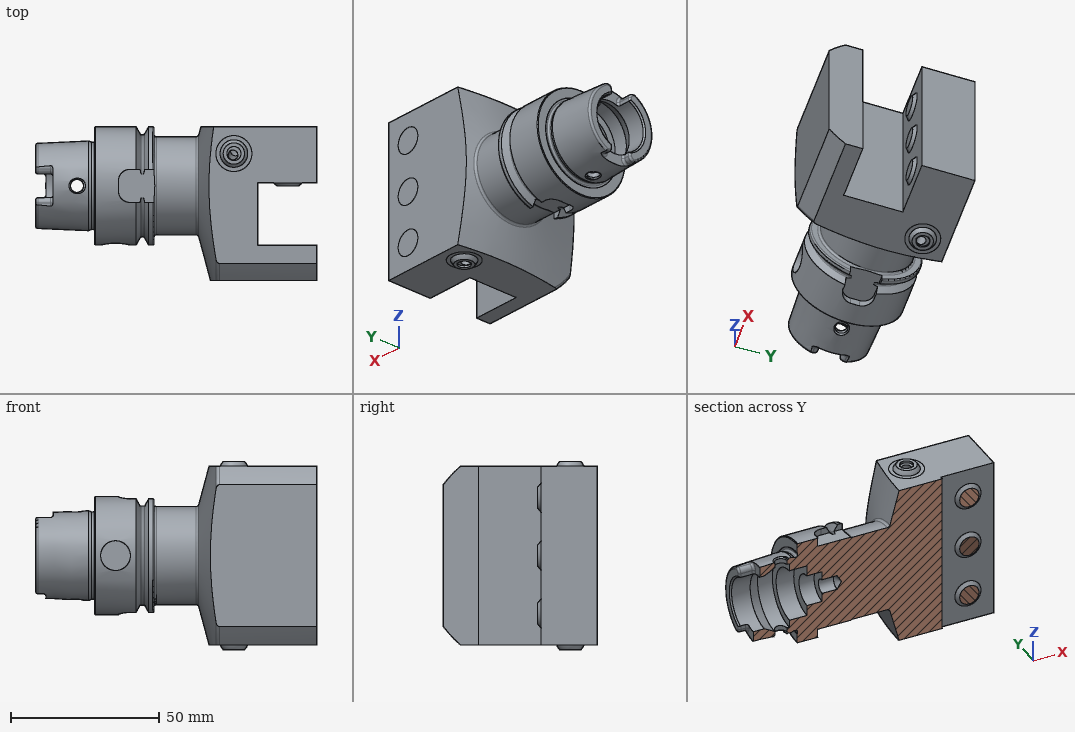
import cadquery as cq
import math


shank_front = -19.9
taper_front_radius = 14.38
taper_back_x = -2.1
taper_back_radius = 15.2
taper_slope = (taper_back_radius - taper_front_radius) / (taper_back_x - shank_front)
relief_front = -1.0
relief_radius = 14.8
relief_fillet = 0.7
shank_rim_fillet = 0.8

flange_radius = 20.0
flange_back = 20.0
flange_face_chamfer = 0.3
face_recess_radius = 16.2
face_recess_depth = 0.2
flange_back_fillet = 0.5
groove_radius = 17.3
groove_top_front = 13.95
groove_floor_front = 15.6
groove_floor_back = 16.6
groove_top_back = 18.2
groove_fillet = 0.5

neck_radius = 16.6
neck_front_fillet = 0.8
neck_back = 34.9
neck_back_fillet = 0.95
cone_angle = 15.0
head_radius = 40.0
head_rim_fillet = 1.1
head_back = 75.0
head_width = 52.0
head_top_y = flange_radius
head_bottom_y = head_top_y - head_width
head_half_height = 30.2

bore_radius = 10.5
bore_rim_chamfer = 0.6
clamp_groove_front = -12.3
clamp_groove_floor_front = -8.4
clamp_groove_back = -2.8
clamp_groove_radius = 12.7
inner_bore_radius = 9.9
inner_bore_end = 3.8
tube_seat_radius = 5.9
tube_seat_end = 9.5
coolant_bore_radius = 2.7
coolant_bore_end = 15.2
drill_tip_half_angle = 59.0

keyway_half_width = 4.0
keyway_shoulder_height = 12.9
keyway_edge_radius = 1.7
keyway_end_fillet = 0.9
upper_keyway_depth = 5.9
lower_keyway_depth = 3.4

cross_hole_x = -6.0
cross_hole_radius = 2.2
cross_hole_sink_radius = 2.8
shank_radius_at_hole = taper_back_radius - taper_slope * (taper_back_x - cross_hole_x)

pocket_front = 8.0
pocket_half_width = 5.6
pocket_corner_radius = 4.0
pocket_floor_height = 16.8

chip_hole_x = 7.0
chip_hole_radius = 5.0
chip_hole_depth = 4.6

slot_floor_x = 55.0
slot_wall_y = 1.0
slot_width = 21.1

screw_x = 65.2
screw_radius = 4.9
screw_tip_radius = 3.6
screw_protrusion = 1.1
screw_pitch = 19.55
screw_count = 3

nozzle_x = 47.0
nozzle_y = 10.9
ring_radius = 6.1
ring_depth = 3.8
ball_radius = 5.0
ball_center_depth = 1.9
ball_protrusion = 1.6
ball_recess_radius = 2.4
ball_recess_depth = 0.8
jet_radius = 1.6
jet_tilt_x = 6.0
jet_tilt_y = 10.0


def upside_down(body):
    """Mirror image of a body on the other side of the X-Y plane."""
    return body.mirror("XY")


def fillet_rim(body, x, radius, fillet):
    """Round the circular edge of the given radius at the given X."""
    tolerance = 0.01
    rim = body.edges("%CIRCLE").filter(
        lambda edge: abs(edge.Center().x - x) < tolerance and abs(edge.radius() - radius) < tolerance
    )
    return rim.fillet(fillet)


def turned_blank():
    """Shank, flange, neck and round head, turned about the X axis."""
    cone_length = (head_radius - neck_radius) * math.tan(math.radians(cone_angle))
    cone_back = neck_back + cone_length
    outline = [
        (shank_front, 0),
        (shank_front, taper_front_radius),
        (taper_back_x, taper_back_radius),
        (relief_front, relief_radius),
        (face_recess_depth, relief_radius),
        (face_recess_depth, face_recess_radius),
        (0, face_recess_radius),
        (0, flange_radius - flange_face_chamfer),
        (flange_face_chamfer, flange_radius),
        (groove_top_front, flange_radius),
        (groove_floor_front, groove_radius),
        (groove_floor_back, groove_radius),
        (groove_top_back, flange_radius),
        (flange_back, flange_radius),
        (flange_back, neck_radius),
        (neck_back, neck_radius),
        (cone_back, head_radius),
        (head_back, head_radius),
        (head_back, 0),
    ]
    blank = cq.Workplane("XY").polyline(outline).close().revolve(360, (0, 0, 0), (1, 0, 0))
    blank = fillet_rim(blank, face_recess_depth, relief_radius, relief_fillet)
    blank = fillet_rim(blank, groove_floor_front, groove_radius, groove_fillet)
    blank = fillet_rim(blank, groove_floor_back, groove_radius, groove_fillet)
    blank = fillet_rim(blank, flange_back, flange_radius, flange_back_fillet)
    blank = fillet_rim(blank, flange_back, neck_radius, neck_front_fillet)
    blank = fillet_rim(blank, neck_back, neck_radius, neck_back_fillet)
    return fillet_rim(blank, cone_back, head_radius, head_rim_fillet)


def head_envelope():
    """Box whose sides flatten the turned head; it clears the whole shank and flange."""
    return cq.Workplane("XY").box(
        head_back - shank_front, head_width, 2 * head_half_height, centered=False
    ).translate((shank_front, head_bottom_y, -head_half_height))


def shank_bore():
    tip_length = coolant_bore_radius / math.tan(math.radians(drill_tip_half_angle))
    outline = [
        (shank_front, 0),
        (shank_front, bore_radius + bore_rim_chamfer),
        (shank_front + bore_rim_chamfer, bore_radius),
        (clamp_groove_front, bore_radius),
        (clamp_groove_floor_front, clamp_groove_radius),
        (clamp_groove_back, clamp_groove_radius),
        (clamp_groove_back, inner_bore_radius),
        (inner_bore_end, inner_bore_radius),
        (inner_bore_end, tube_seat_radius),
        (tube_seat_end, tube_seat_radius),
        (tube_seat_end, coolant_bore_radius),
        (coolant_bore_end, coolant_bore_radius),
        (coolant_bore_end + tip_length, 0),
    ]
    return cq.Workplane("XY").polyline(outline).close().revolve(360, (0, 0, 0), (1, 0, 0))


def keyway(depth):
    """Slot on the +Z side of the rim, its walls rounded over into flat shoulders."""
    top = taper_back_radius
    shoulder_y = top
    edge_y = keyway_half_width + keyway_edge_radius
    edge_z = keyway_shoulder_height - keyway_edge_radius
    diagonal = keyway_edge_radius * math.sqrt(0.5)
    arc_middle = (edge_y - diagonal, edge_z + diagonal)
    return (
        cq.Workplane("YZ", origin=(shank_front, 0, 0))
        .moveTo(-keyway_half_width, 0)
        .lineTo(keyway_half_width, 0)
        .lineTo(keyway_half_width, edge_z)
        .threePointArc(arc_middle, (edge_y, keyway_shoulder_height))
        .lineTo(shoulder_y, keyway_shoulder_height)
        .lineTo(shoulder_y, top)
        .lineTo(-shoulder_y, top)
        .lineTo(-shoulder_y, keyway_shoulder_height)
        .lineTo(-edge_y, keyway_shoulder_height)
        .threePointArc((-arc_middle[0], arc_middle[1]), (-keyway_half_width, edge_z))
        .close()
        .extrude(depth)
        .faces(">X")
        .edges()
        .fillet(keyway_end_fillet)
    )


def cross_hole():
    """Hole along Z through both shank walls, countersunk outside."""
    hole = cq.Workplane("XY").circle(cross_hole_radius).extrude(taper_back_radius, both=True)
    sink_depth = cross_hole_sink_radius - cross_hole_radius
    sink = (
        cq.Workplane("XY", origin=(0, 0, shank_radius_at_hole - sink_depth))
        .circle(cross_hole_radius)
        .workplane(offset=sink_depth)
        .circle(cross_hole_sink_radius)
        .loft()
    )
    return hole.union(sink).union(upside_down(sink)).translate((cross_hole_x, 0, 0))


def gripper_pocket():
    """Flat-floored pocket on the +Z side, open towards the neck."""
    pocket_back = flange_back + neck_front_fillet
    return (
        cq.Workplane("XY", origin=(0, 0, pocket_floor_height))
        .moveTo(pocket_front, -pocket_half_width)
        .lineTo(pocket_back, -pocket_half_width)
        .lineTo(pocket_back, pocket_half_width)
        .lineTo(pocket_front, pocket_half_width)
        .close()
        .extrude(flange_radius - pocket_floor_height)
        .edges("|Z and <X")
        .fillet(pocket_corner_radius)
    )


def chip_hole():
    return (
        cq.Workplane("XZ", origin=(chip_hole_x, -flange_radius + chip_hole_depth, 0))
        .circle(chip_hole_radius)
        .extrude(chip_hole_depth)
    )


def tool_slot():
    return cq.Workplane("XY").box(
        head_back - slot_floor_x, slot_width, 2 * head_half_height, centered=(False, False, True)
    ).translate((slot_floor_x, slot_wall_y - slot_width, 0))


def clamp_screw(z):
    """Screw along Y from the outer side of the arm, its blunt tip standing into the slot."""
    tip_y = slot_wall_y - screw_protrusion
    outline = [
        (0, head_top_y),
        (screw_radius, head_top_y),
        (screw_radius, slot_wall_y),
        (screw_tip_radius, tip_y),
        (0, tip_y),
    ]
    screw = cq.Workplane("XY").polyline(outline).close().revolve(360, (0, 0, 0), (0, 1, 0))
    return screw.translate((screw_x, 0, z))


def ball_blank():
    """Sphere of the upper nozzle, before its top is cut flat."""
    return cq.Workplane("XY").sphere(ball_radius).translate(
        (nozzle_x, nozzle_y, head_half_height - ball_center_depth)
    )


def ring_blank():
    """Disc of the upper nozzle ring, before the ball seat is cut."""
    return (
        cq.Workplane("XY", origin=(nozzle_x, nozzle_y, head_half_height - ring_depth))
        .circle(ring_radius)
        .extrude(ring_depth)
    )


def nozzle_ring():
    return ring_blank().cut(ball_blank())


def nozzle_ball():
    """Ball with a flat top, a shallow recess and a tilted jet bore."""
    flat_z = head_half_height + ball_protrusion
    above_flat = (
        cq.Workplane("XY", origin=(nozzle_x, nozzle_y, flat_z)).circle(ball_radius).extrude(ball_radius)
    )
    recess = (
        cq.Workplane("XY", origin=(nozzle_x, nozzle_y, flat_z - ball_recess_depth))
        .circle(ball_recess_radius)
        .extrude(ball_recess_depth)
    )
    jet = (
        cq.Workplane("XY")
        .circle(jet_radius)
        .extrude(ball_radius, both=True)
        .rotate((0, 0, 0), (0, 1, 0), -jet_tilt_x)
        .rotate((0, 0, 0), (1, 0, 0), jet_tilt_y)
        .translate((nozzle_x, nozzle_y, head_half_height - ball_center_depth))
    )
    return ball_blank().cut(above_flat).cut(recess).cut(jet)


def tool_holder(screws):
    """Shank and head in one piece, with seats for the screws and nozzles."""
    body = turned_blank().intersect(head_envelope())
    body = body.cut(keyway(upper_keyway_depth))
    body = body.cut(upside_down(keyway(lower_keyway_depth)))
    body = body.faces("<X").edges().fillet(shank_rim_fillet)
    body = body.cut(shank_bore())
    body = body.cut(cross_hole())
    body = body.cut(gripper_pocket())
    body = body.cut(upside_down(gripper_pocket()))
    body = body.cut(chip_hole())
    body = body.cut(tool_slot())
    nozzle_seat = ring_blank().union(ball_blank())
    body = body.cut(nozzle_seat)
    body = body.cut(upside_down(nozzle_seat))
    for screw in screws:
        body = body.cut(screw)
    return body


screws = [clamp_screw((i - (screw_count - 1) / 2) * screw_pitch) for i in range(screw_count)]
holder = tool_holder(screws)
rings = [nozzle_ring(), upside_down(nozzle_ring())]
balls = [nozzle_ball(), upside_down(nozzle_ball())]

result = cq.Compound.makeCompound([part.val() for part in [holder, *screws, *rings, *balls]])